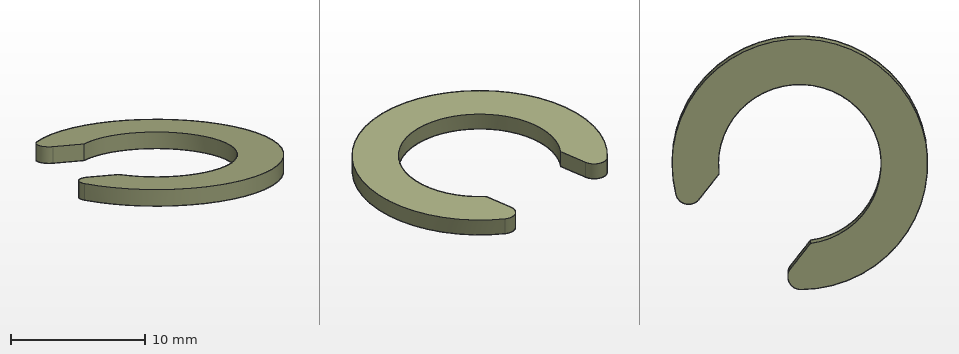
import cadquery as cq
import math

outer_radius = 9.5
inner_radius = 6.05
thickness = 1.3
mouth_width = 8.59
tip_radius = 0.99

half_mouth = mouth_width / 2

tip_center_x = half_mouth + tip_radius
tip_center_distance = outer_radius - tip_radius
tip_center_y = -math.sqrt(tip_center_distance**2 - tip_center_x**2)

tangent_x = tip_center_x * outer_radius / tip_center_distance
tangent_y = tip_center_y * outer_radius / tip_center_distance

inner_corner_y = -math.sqrt(inner_radius**2 - half_mouth**2)

tip_bottom_y = tip_center_y - tip_radius

result = (
    cq.Workplane("XY")
    .moveTo(-tangent_x, tangent_y)
    .threePointArc((0, outer_radius), (tangent_x, tangent_y))
    .threePointArc((tip_center_x, tip_bottom_y), (half_mouth, tip_center_y))
    .lineTo(half_mouth, inner_corner_y)
    .threePointArc((0, inner_radius), (-half_mouth, inner_corner_y))
    .lineTo(-half_mouth, tip_center_y)
    .threePointArc((-tip_center_x, tip_bottom_y), (-tangent_x, tangent_y))
    .close()
    .extrude(thickness)
)